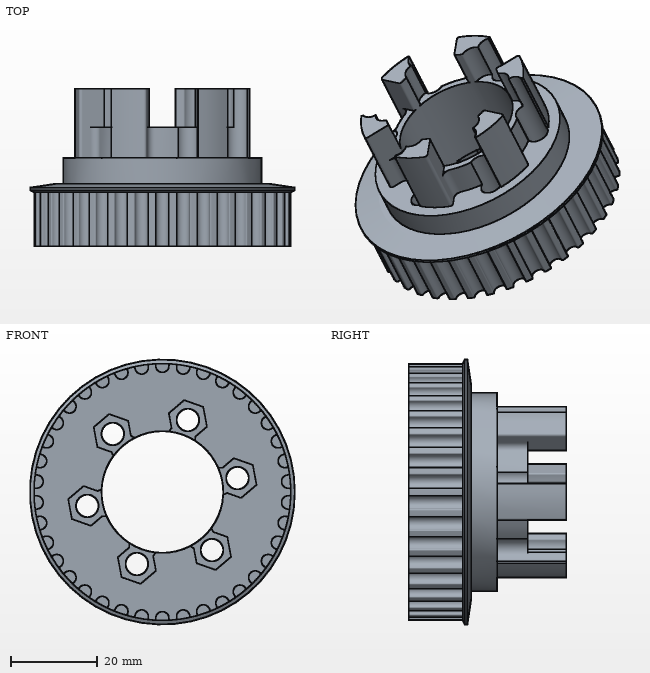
import cadquery as cq
import math

belt_width = 12.5
rim_start = 13.0
rim_end = 13.6
cone_end = 14.55
hub_end = 20.5
web_end = 27.6
prong_end = 36.5

bore_radius = 14.05
tooth_radius = 29.7
flange_radius = 30.7
cone_radius = 24.55
hub_radius = 22.99
web_radius = 15.85
prong_radius = 20.25

groove_count = 38
groove_radius = 1.55
groove_depth = 2.0
lip_radius = 0.3

bolt_count = 6
bolt_circle_radius = 17.7
first_bolt_angle = 10.5
bolt_hole_radius = 2.6
nut_across_flats = 8.1
nut_pocket_depth = 8.0
neck_start = 14.7
neck_end = 13.5
neck_half_width = 2.95
neck_mouth_half_width = 3.25

prong_near_angle = -4.8
prong_far_outer_angle = -29.9
prong_far_inner_angle = -28.3
prong_outer_fillet = 0.6
prong_inner_fillet = 0.4
web_fillet = 1.6

scallop_radius = 2.7
scallop_center_radius = 13.9
scallop_angle = -8.4

pick_size = 0.05


def polar(radius, angle):
    """Point in the XZ plane, with the angle in degrees from +X toward +Z."""
    return (radius * math.cos(math.radians(angle)), radius * math.sin(math.radians(angle)))


def plane_at(y):
    """Plane across the axis whose local axes are X and Z and whose normal points to -Y."""
    return cq.Workplane("XZ", origin=(0, y, 0))


def disc(radius, start, end, center=(0, 0)):
    """Cylinder along Y between two stations."""
    return plane_at(start).center(*center).circle(radius).extrude(start - end)


def round_edges(body, points, radius):
    """Fillet the edges along Y that end at the given XZ points on the free end of the prongs."""
    for x, z in points:
        corner = cq.selectors.BoxSelector(
            (x - pick_size, web_end, z - pick_size), (x + pick_size, prong_end, z + pick_size)
        )
        body = body.edges("|Y").edges(corner).fillet(radius)
    return body


def around_bolts(body):
    """Copies of a body made for a bolt on +X, one turned to each bolt."""
    copies = cq.Workplane("XY")
    for i in range(bolt_count):
        angle = first_bolt_angle + i * 360 / bolt_count
        copies = copies.add(body.rotate((0, 0, 0), (0, 1, 0), -angle))
    return copies.combine()


far_inner = polar(bore_radius, prong_far_inner_angle)
far_outer = polar(prong_radius, prong_far_outer_angle)


def toothed_rim():
    rim = disc(tooth_radius, 0, belt_width)
    center_radius = tooth_radius - groove_depth + groove_radius
    groove_points = [polar(center_radius, 90 + i * 360 / groove_count) for i in range(groove_count)]
    rim = rim.cut(plane_at(0).pushPoints(groove_points).circle(groove_radius).extrude(-belt_width))
    rim = rim.edges("|Y").fillet(lip_radius)
    return rim.cut(disc(bore_radius, 0, belt_width))


def flange_and_hub():
    outline = [
        (0, belt_width),
        (tooth_radius, belt_width),
        (flange_radius, rim_start),
        (flange_radius, rim_end),
        (cone_radius, cone_end),
        (hub_radius, cone_end),
        (hub_radius, hub_end),
        (0, hub_end),
    ]
    return cq.Workplane("XY").polyline(outline).close().revolve(360, (0, 0, 0), (0, 1, 0))


def prong():
    """Prong for a bolt lying on +X."""
    middle_angle = (prong_near_angle + prong_far_outer_angle) / 2
    body = (
        plane_at(hub_end)
        .moveTo(*far_inner)
        .lineTo(*far_outer)
        .threePointArc(polar(prong_radius, middle_angle), polar(prong_radius, prong_near_angle))
        .lineTo(*polar(bore_radius, prong_near_angle))
        .close()
        .extrude(hub_end - prong_end)
    )
    outer_corners = [far_outer]
    body = round_edges(body, outer_corners, prong_outer_fillet)

    scallop_center = polar(scallop_center_radius, scallop_angle)
    body = body.cut(disc(bore_radius, hub_end, prong_end))
    body = body.cut(disc(scallop_radius, web_end, prong_end, scallop_center))

    cosine = (bore_radius**2 + scallop_center_radius**2 - scallop_radius**2) / (
        2 * bore_radius * scallop_center_radius
    )
    crossing_angle = scallop_angle - math.degrees(math.acos(cosine))
    inner_corners = [far_inner, polar(bore_radius, crossing_angle)]
    return round_edges(body, inner_corners, prong_inner_fillet)


def web_blend():
    """Concave blend between the web ring and the far side of the prong for a bolt on +X."""
    side_x = far_outer[0] - far_inner[0]
    side_z = far_outer[1] - far_inner[1]
    side_length = math.hypot(side_x, side_z)
    along = (side_x / side_length, side_z / side_length)
    away = (along[1], -along[0])

    start_x = far_inner[0] + web_fillet * away[0]
    start_z = far_inner[1] + web_fillet * away[1]
    start_along = start_x * along[0] + start_z * along[1]
    start_across = start_x * away[0] + start_z * away[1]
    travel = math.sqrt((web_radius + web_fillet) ** 2 - start_across**2) - start_along
    axis = (start_x + travel * along[0], start_z + travel * along[1])
    side_tangent = (axis[0] - web_fillet * away[0], axis[1] - web_fillet * away[1])
    ring_tangent_angle = math.degrees(math.atan2(axis[1], axis[0]))

    return (
        plane_at(hub_end)
        .polyline([far_inner, side_tangent, axis, polar(bore_radius, ring_tangent_angle)])
        .close()
        .extrude(hub_end - web_end)
        .cut(disc(web_fillet, hub_end, web_end, axis))
    )


def nut_pocket():
    """Hexagonal pocket with one flat facing the axis and a neck that flares into the bore."""
    corner_diameter = nut_across_flats / math.cos(math.radians(30))
    pocket = (
        plane_at(0)
        .center(bolt_circle_radius, 0)
        .transformed(rotate=(0, 0, 30))
        .polygon(6, corner_diameter)
        .extrude(-nut_pocket_depth)
    )
    neck = [
        (neck_start, neck_half_width),
        (neck_end, neck_mouth_half_width),
        (neck_end, -neck_mouth_half_width),
        (neck_start, -neck_half_width),
    ]
    return pocket.union(plane_at(0).polyline(neck).close().extrude(-nut_pocket_depth))


bolt_hole = disc(bolt_hole_radius, 0, prong_end, (bolt_circle_radius, 0))

result = (
    flange_and_hub()
    .union(disc(web_radius, hub_end, web_end))
    .union(around_bolts(prong().union(web_blend())))
    .cut(disc(bore_radius, belt_width, prong_end))
    .union(toothed_rim())
    .cut(around_bolts(bolt_hole.union(nut_pocket())))
)